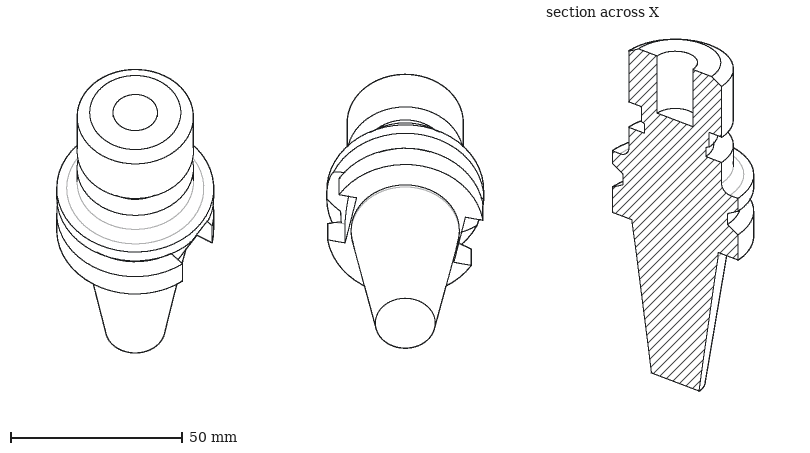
import cadquery as cq
import math

total_height = 108.4
flange_radius = 23.0

taper_length = 48.3
taper_large_radius = 15.8
taper_ratio = 7 / 24
taper_small_radius = taper_large_radius - taper_length * taper_ratio / 2

flange_bottom = 49.4
flange_top = 70.5
groove_radius = 19.2
groove_lower_edge = 58.1
groove_upper_edge = 66.0
groove_flank_angle = 30
groove_flank_height = (flange_radius - groove_radius) * math.tan(math.radians(groove_flank_angle))

collar_radius = 17.0
collar_top = 80.5
collar_fillet = 3.0

lower_neck_radius = 11.3
upper_neck_radius = 12.5
neck_step_bottom = 83.5
neck_step_top = 84.1

nut_radius = collar_radius
nut_bottom = 89.0
nut_chamfer_height = 2.1
nut_face_radius = 13.3
bore_radius = 6.5
bore_depth = total_height - nut_bottom

slot_width = 16.2
slot_top = 67.5
slot_floor = 16.3


def turned_body():
    """Revolve the half profile about the Z axis (local x = radius, y = height)."""
    fillet_mid_offset = collar_fillet * (1 - math.sqrt(0.5))
    profile = (
        cq.Workplane("XZ")
        .moveTo(0, 0)
        .lineTo(taper_small_radius, 0)
        .lineTo(taper_large_radius, taper_length)
        .lineTo(taper_large_radius, flange_bottom)
        .lineTo(flange_radius, flange_bottom)
        .lineTo(flange_radius, groove_lower_edge)
        .lineTo(groove_radius, groove_lower_edge + groove_flank_height)
        .lineTo(groove_radius, groove_upper_edge - groove_flank_height)
        .lineTo(flange_radius, groove_upper_edge)
        .lineTo(flange_radius, flange_top)
        .lineTo(collar_radius + collar_fillet, flange_top)
        .threePointArc(
            (collar_radius + fillet_mid_offset, flange_top + fillet_mid_offset),
            (collar_radius, flange_top + collar_fillet),
        )
        .lineTo(collar_radius, collar_top)
        .lineTo(lower_neck_radius, collar_top)
        .lineTo(lower_neck_radius, neck_step_bottom)
        .lineTo(upper_neck_radius, neck_step_top)
        .lineTo(upper_neck_radius, nut_bottom)
        .lineTo(nut_radius, nut_bottom)
        .lineTo(nut_radius, total_height - nut_chamfer_height)
        .lineTo(nut_face_radius, total_height)
        .lineTo(0, total_height)
        .close()
    )
    return profile.revolve(360, (0, 0, 0), (0, 1, 0))


def nut_bore():
    """Blind bore from the top face."""
    return (
        cq.Workplane("XY")
        .workplane(offset=total_height - bore_depth)
        .circle(bore_radius)
        .extrude(bore_depth)
    )


def drive_slot():
    """Round-topped slot cutter on the +X side, open at the flange underside."""
    half_width = slot_width / 2
    return (
        cq.Workplane("YZ")
        .workplane(offset=slot_floor)
        .moveTo(-half_width, flange_bottom)
        .lineTo(half_width, flange_bottom)
        .lineTo(half_width, slot_top - half_width)
        .threePointArc((0, slot_top), (-half_width, slot_top - half_width))
        .close()
        .extrude(flange_radius)
    )


result = turned_body().cut(nut_bore())
for angle in (0, 180):
    result = result.cut(drive_slot().rotate((0, 0, 0), (0, 0, 1), angle))